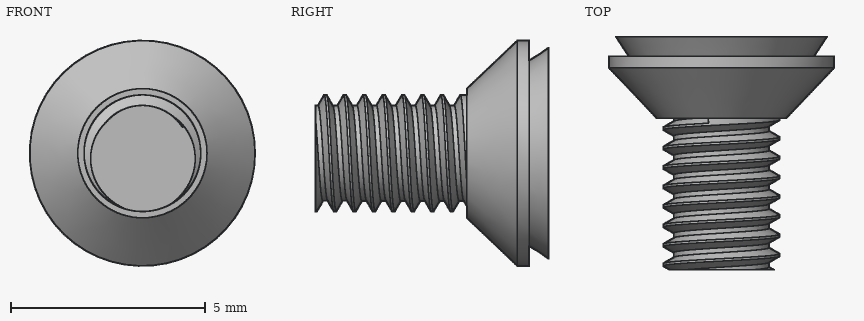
import cadquery as cq
import math

overall_length = 6
shank_length = 3.895
rim_diameter = 5.8
rim_radius = rim_diameter / 2
rim_thickness = 0.3
flare_height = 0.505
flare_top_radius = 2.72
flare_base_radius = 2.39
seat_radius = 1.66

thread_diameter = 3
crest_radius = thread_diameter / 2
pitch = thread_diameter / 6
root_depth = 5 / 8 * pitch * math.cos(math.radians(30))
root_radius = crest_radius - root_depth
root_width = pitch / 4
flank_slope = math.tan(math.radians(30))
cutter_overlap = 0.06
groove_start_angle = 103
groove_start_depth = -0.095


def make_head():
    rim_top = overall_length - flare_height
    rim_bottom = rim_top - rim_thickness
    half_section = [
        (0, shank_length),
        (seat_radius, shank_length),
        (rim_radius, rim_bottom),
        (rim_radius, rim_top),
        (flare_base_radius, rim_top),
        (flare_top_radius, overall_length),
        (0, overall_length),
    ]
    return cq.Workplane("XY").polyline(half_section).close().revolve(360, (0, 0, 0), (0, 1, 0))


def make_groove():
    """Helical groove around local Z, running from the head past the tip."""
    helix_height = shank_length - groove_start_depth + pitch
    helix = cq.Wire.makeHelix(pitch, helix_height, root_radius)
    outer_radius = crest_radius + cutter_overlap
    root_half = root_width / 2
    outer_half = root_half + (outer_radius - root_radius) * flank_slope
    groove_section = [
        (root_radius, -root_half),
        (outer_radius, -outer_half),
        (outer_radius, outer_half),
        (root_radius, root_half),
    ]
    groove = cq.Workplane("XZ").polyline(groove_section).close().sweep(cq.Workplane(helix), isFrenet=True)
    return groove.rotate((0, 0, 0), (0, 0, 1), groove_start_angle).translate((0, 0, groove_start_depth))


def make_shank():
    shank = cq.Workplane("XY").circle(crest_radius).extrude(shank_length).cut(make_groove())
    return shank.rotate((0, 0, 0), (1, 0, 0), 90).translate((0, shank_length, 0))


result = make_head().union(make_shank())